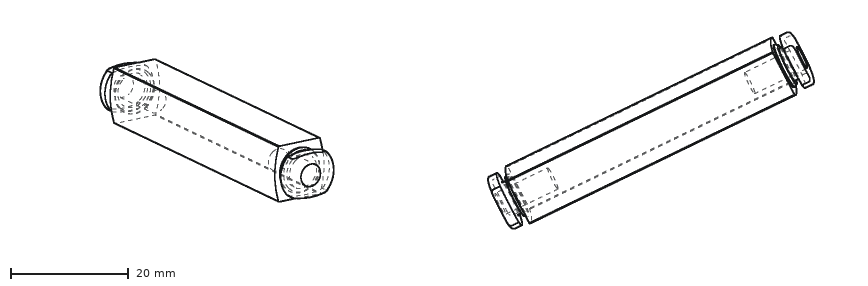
import cadquery as cq

overall_length = 57.4
end_length = 3.5
body_length = overall_length - 2 * end_length

body_height = 10.0
body_width = 10.0
body_edge_width = 8.5
body_flat_width = 8.2
corner_drop = 0.1

collar_diameter = 9.9
collar_thickness = 1.8
collar_height = 7.9
collar_crown_radius = 13.0
collar_rim_radius = 0.5

neck_diameter = 6.1
neck_fillet = 0.3
ring_diameter = 8.0
ring_width = 0.7
ring_taper_length = 0.5
ring_taper_height = 0.3

socket_diameter = 4.0
socket_depth = 10.0


def make_body():
    half_height = body_height / 2
    half_width = body_width / 2
    half_edge = body_edge_width / 2
    half_flat = body_flat_width / 2
    edge_height = half_height - corner_drop
    return (
        cq.Workplane("YZ", origin=(-body_length / 2, 0, 0))
        .moveTo(-half_flat, half_height)
        .lineTo(half_flat, half_height)
        .lineTo(half_edge, edge_height)
        .threePointArc((half_width, 0), (half_edge, -edge_height))
        .lineTo(half_flat, -half_height)
        .lineTo(-half_flat, -half_height)
        .lineTo(-half_edge, -edge_height)
        .threePointArc((-half_width, 0), (-half_edge, edge_height))
        .close()
        .extrude(body_length)
    )


def make_collar(outer_x):
    """Round-rimmed disc with its top and bottom trimmed by crown cylinders."""
    collar = (
        cq.Workplane("YZ", origin=(outer_x, 0, 0))
        .circle(collar_diameter / 2)
        .extrude(collar_thickness)
        .faces("<X")
        .edges()
        .fillet(collar_rim_radius)
    )
    crown_offset = collar_crown_radius - collar_height / 2
    for side in (-1, 1):
        crown = (
            cq.Workplane("YZ", origin=(outer_x, 0, side * crown_offset))
            .circle(collar_crown_radius)
            .extrude(collar_thickness)
        )
        collar = collar.intersect(crown)
    return collar


def make_neck(outer_x):
    """Turned neck and tapered seat ring, from the back of the collar to the body."""
    collar_back_x = outer_x + collar_thickness
    body_x = outer_x + end_length
    ring_x = body_x - ring_width
    neck_radius = neck_diameter / 2
    ring_radius = ring_diameter / 2
    return (
        cq.Workplane("XY")
        .moveTo(collar_back_x, 0)
        .lineTo(collar_back_x, neck_radius + neck_fillet)
        .radiusArc((collar_back_x + neck_fillet, neck_radius), -neck_fillet)
        .lineTo(ring_x, neck_radius)
        .lineTo(ring_x, ring_radius - ring_taper_height)
        .lineTo(ring_x + ring_taper_length, ring_radius)
        .lineTo(body_x, ring_radius)
        .lineTo(body_x, 0)
        .close()
        .revolve(360, (0, 0, 0), (1, 0, 0))
    )


def make_socket(outer_x):
    return (
        cq.Workplane("YZ", origin=(outer_x, 0, 0))
        .circle(socket_diameter / 2)
        .extrude(socket_depth)
    )


left_end_x = -overall_length / 2
left_fitting = make_collar(left_end_x).union(make_neck(left_end_x))
left_socket = make_socket(left_end_x)

result = (
    make_body()
    .union(left_fitting)
    .union(left_fitting.mirror("YZ"))
    .cut(left_socket)
    .cut(left_socket.mirror("YZ"))
)